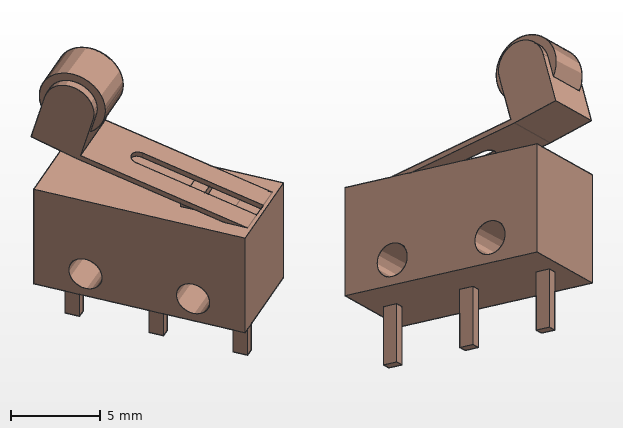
import cadquery as cq
import math

body_length = 12.79
body_width = 5.8
body_height = 6.5
hole_diameter = 2.0
hole_height = 1.51
first_hole_x = 3.13
hole_pitch = 6.5

terminal_length = 3.5
terminal_width = 0.89
terminal_thickness = 0.57
first_terminal_x = 1.29
terminal_pitch = 5.08
terminal_count = 3

plunger_x = 8.77
plunger_length = 1.0
plunger_width = 2.78
plunger_height = 0.42

lever_angle = 12.9
lever_end_x = 12.55
lever_thickness = 0.31
lever_width = 3.74
lever_center_y = -0.05
slot_width = 1.01
slot_start_x = 4.78

overall_height = 17.4
roller_diameter = 4.0
roller_width = 2.71
roller_x = 1.74
roller_z = overall_height - terminal_length - roller_diameter / 2
holder_radius = 1.51
holder_angle = 15.7
holder_drop = 3.1

lever_slope = math.tan(math.radians(lever_angle))
lever_cos = math.cos(math.radians(lever_angle))
lever_sin = math.sin(math.radians(lever_angle))


def lever_top_z(x):
    return body_height + (lever_end_x - x) * lever_slope


def block(length, width, height, x, bottom_z):
    return (
        cq.Workplane("XY", origin=(x, 0, bottom_z))
        .box(length, width, height, centered=(True, True, False))
    )


def extrude_across(outline, width):
    """Extrude an XZ outline symmetrically about the middle of the lever."""
    return outline.extrude(width).translate((0, lever_center_y + width / 2, 0))


def make_body():
    body = block(body_length, body_width, body_height, body_length / 2, 0)
    holes = (
        cq.Workplane("XZ")
        .pushPoints([(first_hole_x, hole_height), (first_hole_x + hole_pitch, hole_height)])
        .circle(hole_diameter / 2)
        .extrude(body_width, both=True)
    )
    body = body.cut(holes)
    for index in range(terminal_count):
        x = first_terminal_x + index * terminal_pitch
        body = body.union(
            block(terminal_width, terminal_thickness, terminal_length, x, -terminal_length)
        )
    return body.union(block(plunger_length, plunger_width, plunger_height, plunger_x, body_height))


def holder_point(along, up):
    """XZ position measured from the roller axis in the tilted holder frame."""
    angle = math.radians(holder_angle)
    x = roller_x + along * math.cos(angle) + up * math.sin(angle)
    z = roller_z - along * math.sin(angle) + up * math.cos(angle)
    return (x, z)


def make_arm():
    """Holder and lever plate as one profile, with the plate end sunk into the body."""
    right_tangent = holder_point(holder_radius, 0)
    foot = holder_point(-holder_radius, -holder_drop)
    holder_slope = math.tan(math.radians(holder_angle))

    gap = right_tangent[1] - lever_top_z(right_tangent[0])
    inner_drop = gap / (1 + lever_slope * holder_slope)
    inner_corner = (right_tangent[0] - inner_drop * holder_slope, right_tangent[1] - inner_drop)

    lever_bottom_z = lever_top_z(foot[0]) - lever_thickness / lever_cos
    bend_run = (foot[1] - lever_bottom_z) / (holder_slope - lever_slope)
    bend = (foot[0] + bend_run, foot[1] - bend_run * holder_slope)

    end_top = (lever_end_x, body_height)
    end_bottom = (lever_end_x - lever_thickness * lever_sin, body_height - lever_thickness * lever_cos)
    outline = (
        cq.Workplane("XZ")
        .moveTo(*foot)
        .lineTo(*holder_point(-holder_radius, 0))
        .threePointArc(holder_point(0, holder_radius), right_tangent)
        .lineTo(*inner_corner)
        .lineTo(*end_top)
        .lineTo(*end_bottom)
        .lineTo(*bend)
        .close()
    )
    return extrude_across(outline, lever_width)


def make_roller():
    outline = cq.Workplane("XZ").center(roller_x, roller_z).circle(roller_diameter / 2)
    return extrude_across(outline, roller_width)


def make_slot():
    """Slot through the lever thickness, round at the raised end and square at the low end."""
    slot_length = (lever_end_x - slot_start_x) / lever_cos
    half_width = slot_width / 2
    lever_end_plane = cq.Plane(
        origin=(lever_end_x, lever_center_y, body_height),
        xDir=(lever_cos, 0, -lever_sin),
        normal=(lever_sin, 0, lever_cos),
    )
    return (
        cq.Workplane(lever_end_plane)
        .moveTo(0, -half_width)
        .lineTo(0, half_width)
        .lineTo(half_width - slot_length, half_width)
        .threePointArc((-slot_length, 0), (half_width - slot_length, -half_width))
        .close()
        .extrude(-lever_thickness)
    )


slot = make_slot()
result = make_body().union(make_arm()).union(make_roller()).cut(slot)